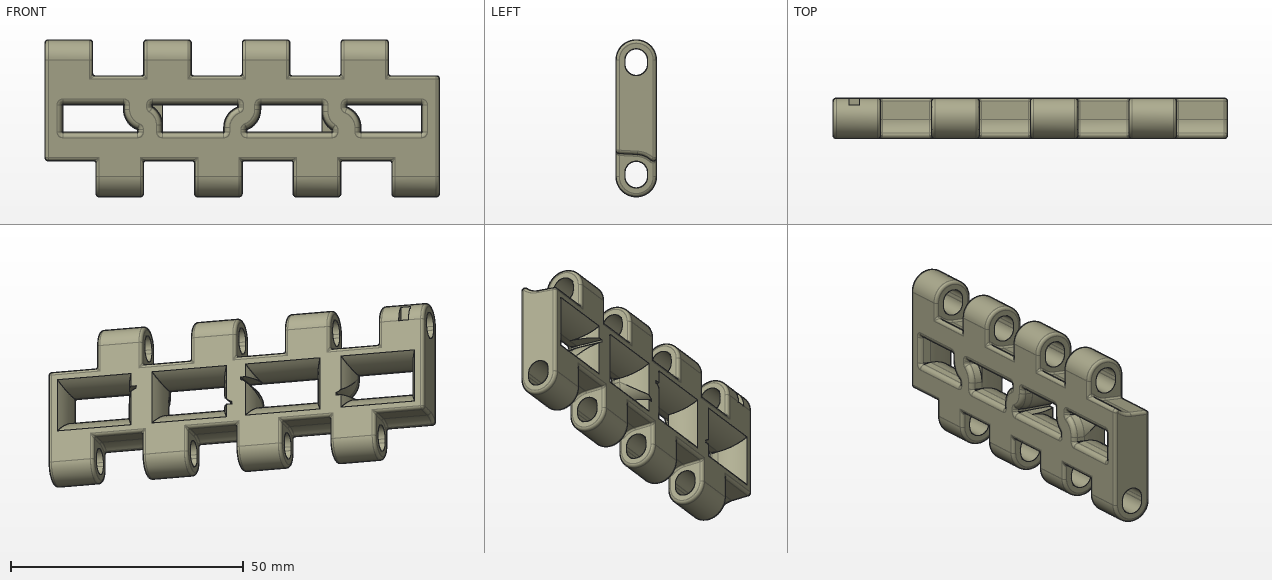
import cadquery as cq
import math

length = 84.7
thickness = 8.7
height = 33.7
half_length = length / 2
barrel_radius = thickness / 2
axis_height = height / 2 - barrel_radius

knuckle_count = 4
knuckle_pitch = length / knuckle_count
knuckle_width = 10.25
gap_width = knuckle_pitch - knuckle_width
clearance_radius = 4.75
crest_y = -0.25
floor_slope = 0.055
edge_radius = 0.72
inner_corner_radius = 0.4

bore_diameter = 4.8
bore_stretch = 0.85

throat_half_height = 2.9
rim_radius = 1.1
throat_depth = 2.5
throat_draft = math.degrees(math.atan(0.3 / throat_depth))
outer_window_side = -38.5
outer_window_corner = -25.5
inner_window_side = 17.1
inner_window_corner = 4.0
bulge_radius = 4.7
bulge_height = 1.95
tip_length = 3.0
relief_radius = 8.2
relief_end_radius = 11.4

recess_bulge_height = 1.4
recess_tip_length = 2.1

notch_start = 3.5
notch_width = 2.2
notch_depth = 1.5
notch_height = 4.2


def half_turn(shape):
    """Turn a shape by 180 degrees about the Y axis through the middle of the link."""
    return shape.rotate((0, 0, 0), (0, 1, 0), 180)


def make_slab():
    """Plate with a half-round upper and lower edge."""
    return (
        cq.Workplane("YZ")
        .slot2D(height, thickness, 90)
        .extrude(length)
        .translate((-half_length, 0, 0))
    )


def gap_cutter(start):
    """Clearance for a neighbouring knuckle: nearly flat at the back, round at the front."""
    reach = 2 * barrel_radius
    crest_angle = math.asin(-crest_y / clearance_radius)
    middle_angle = (crest_angle + math.pi / 2) / 2

    def on_clearance(angle):
        return (
            -clearance_radius * math.sin(angle),
            axis_height - clearance_radius * math.cos(angle),
        )

    crest = on_clearance(crest_angle)
    return (
        cq.Workplane("YZ")
        .moveTo(reach, height)
        .lineTo(reach, crest[1] - floor_slope * (reach - crest_y))
        .lineTo(*crest)
        .threePointArc(on_clearance(middle_angle), on_clearance(math.pi / 2))
        .lineTo(-clearance_radius, height)
        .close()
        .extrude(gap_width)
        .translate((start, 0, 0))
    )


def is_near(value, target):
    return math.isclose(value, target, abs_tol=0.01)


def is_smooth_edge(edge):
    """True for lines where the knuckle rounding meets the flat faces, and along the gap floors."""
    center = edge.Center()
    at_axis_height = is_near(abs(center.z), axis_height)
    at_face = is_near(abs(center.y), barrel_radius)
    at_floor_crest = is_near(center.y, crest_y) and abs(center.z) < axis_height
    return (at_axis_height and at_face) or at_floor_crest


def is_end_edge(edge):
    return is_near(abs(edge.Center().x), half_length)


def is_inner_corner(edge):
    """True where a gap floor meets the side of a knuckle."""
    center = edge.Center()
    within_gap_floor = abs(center.z) < axis_height - bore_stretch
    across_link = edge.BoundingBox().xlen < 0.01 and edge.BoundingBox().ylen > edge_radius
    return within_gap_floor and across_link and not is_end_edge(edge)


def make_body():
    """Link with staggered knuckles and all of its corners rounded."""
    body = make_slab()
    for index in range(knuckle_count):
        cutter = gap_cutter(-half_length + index * knuckle_pitch + knuckle_width)
        body = body.cut(cutter).cut(half_turn(cutter))
    corners = [
        edge
        for edge in body.edges().vals()
        if not (is_smooth_edge(edge) or is_inner_corner(edge))
    ]
    body = body.newObject(corners).fillet(edge_radius)
    inner_corners = [edge for edge in body.edges().vals() if is_inner_corner(edge)]
    return body.newObject(inner_corners).fillet(inner_corner_radius)


def make_bore():
    """Pin hole through the upper knuckles."""
    return (
        cq.Workplane("YZ")
        .center(0, axis_height - bore_stretch / 2)
        .slot2D(bore_diameter + bore_stretch, bore_diameter, 90)
        .extrude(length)
        .translate((-half_length, 0, 0))
    )


def bulged_outline(side, corner, center_height, tip):
    """Outline from a straight side to a side bulging inwards above a pointed lower tip."""
    outward = math.copysign(1, corner - side)
    center_x = corner + outward * bulge_radius
    tip_x = corner + outward * tip
    end_angle = math.acos((bulge_radius - tip) / bulge_radius)

    def on_bulge(angle):
        return (
            center_x - outward * bulge_radius * math.cos(angle),
            center_height - bulge_radius * math.sin(angle),
        )

    return (
        cq.Workplane("XZ", origin=(0, throat_depth - barrel_radius, 0))
        .moveTo(side, throat_half_height)
        .lineTo(corner, throat_half_height)
        .lineTo(corner, center_height)
        .threePointArc(on_bulge(end_angle / 2), on_bulge(end_angle))
        .lineTo(tip_x, -throat_half_height)
        .lineTo(side, -throat_half_height)
        .close()
    )


def recess_cutter(*outline):
    """Pocket from the throat to the front face, widening towards the front."""
    return bulged_outline(*outline).extrude(throat_depth, taper=-throat_draft)


def window_cutter(*outline):
    """Flared front pocket continued straight through to the back."""
    passage = bulged_outline(*outline).extrude(throat_depth - thickness)
    return recess_cutter(*outline).union(passage)


def flare(plane, half_width, radius, half_extent):
    """Prism whose two sides curve apart from the throat to the back face."""
    start_y = throat_depth - barrel_radius
    run = barrel_radius - start_y

    def half_width_after(distance):
        return half_width + radius - math.sqrt(radius**2 - distance**2)

    middle_y = start_y + run / 2
    middle = half_width_after(run / 2)
    back = half_width_after(run)
    return (
        cq.Workplane(plane)
        .moveTo(start_y, half_width)
        .threePointArc((middle_y, middle), (barrel_radius, back))
        .lineTo(barrel_radius, -back)
        .threePointArc((middle_y, -middle), (start_y, -half_width))
        .close()
        .extrude(half_extent, both=True)
    )


def relief_cutter(side, corner):
    """Flare that opens a window towards the back on all four sides."""
    half_width = abs(corner - side) / 2
    upper_and_lower = flare("YZ", throat_half_height, relief_radius, knuckle_pitch)
    left_and_right = flare("YX", half_width, relief_end_radius, height)
    return upper_and_lower.intersect(left_and_right).translate(((side + corner) / 2, 0, 0))


def make_notch():
    center_x = -half_length + notch_start + notch_width / 2
    return cq.Workplane("XY").box(notch_width, notch_depth, notch_height).translate(
        (center_x, barrel_radius - notch_depth / 2, axis_height + notch_height / 2)
    )


outer_window = window_cutter(outer_window_side, outer_window_corner, bulge_height, tip_length)
inner_window = window_cutter(inner_window_side, inner_window_corner, bulge_height, tip_length)
inner_middle = (inner_window_side + inner_window_corner) / 2
recess = recess_cutter(inner_middle, inner_window_side, recess_bulge_height, recess_tip_length)
bore = make_bore()

body = make_body()
for cutter in (bore, outer_window, inner_window, recess):
    body = body.cut(cutter).cut(half_turn(cutter))

front_face = body.faces("<Y")
rims = [edge for wire in front_face.val().innerWires() for edge in wire.Edges()]
body = body.newObject(rims).fillet(rim_radius)

for relief in (
    relief_cutter(outer_window_side, outer_window_corner),
    relief_cutter(inner_window_side, inner_window_corner),
):
    body = body.cut(relief).cut(half_turn(relief))

result = body.cut(make_notch())